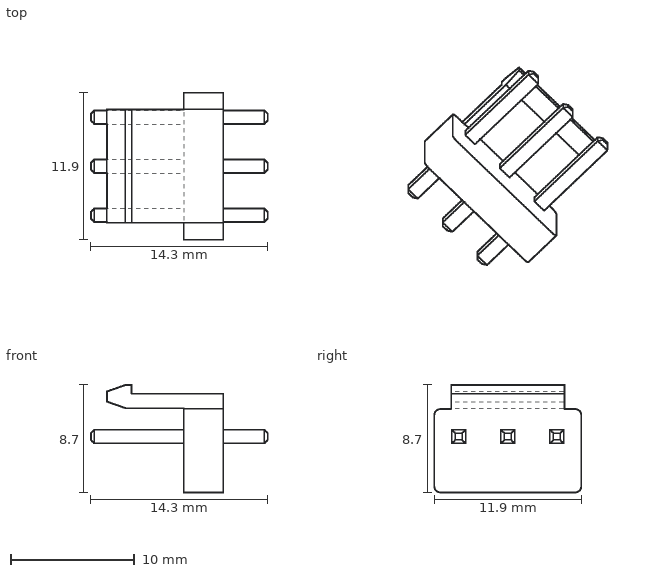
import cadquery as cq

body_thickness = 3.2
body_width = 11.88
body_height = 6.75
body_corner_radius = 0.5

pin_count = 3
pin_pitch = 3.96
pin_length = 14.3
pin_side = 1.12
pin_taper = 0.29
pin_height = 4.52
pin_front_reach = 7.51

latch_width = 9.17
latch_top = 8.0
latch_underside = 6.8
latch_length = 9.41
hook_top = 8.7
hook_length = 2.0
hook_ramp = 1.5
nose_low = 7.34
nose_high = 8.17

body_front = pin_front_reach - pin_length / 2
body_back = body_front + body_thickness
nose_x = body_back - latch_length


def make_body():
    block = cq.Workplane("XY").box(body_thickness, body_width, body_height, centered=(False, True, False))
    return block.edges("|X").fillet(body_corner_radius).translate((body_front, 0, 0))


def make_latch():
    """Hooked plate whose root reaches down into the body over the body's thickness."""
    root_bottom = body_height - body_corner_radius
    outline = [
        (nose_x, nose_low),
        (nose_x, nose_high),
        (nose_x + hook_ramp, hook_top),
        (nose_x + hook_length, hook_top),
        (nose_x + hook_length, latch_top),
        (body_back, latch_top),
        (body_back, root_bottom),
        (body_front, root_bottom),
        (body_front, latch_underside),
        (nose_x + hook_ramp, latch_underside),
    ]
    return cq.Workplane("XZ").polyline(outline).close().extrude(latch_width / 2, both=True)


def make_pin(y):
    pin = cq.Workplane("XY").box(pin_length, pin_side, pin_side)
    pin = pin.faces("<X or >X").chamfer(pin_taper)
    return pin.translate((0, y, pin_height))


result = make_body().union(make_latch())
for index in range(pin_count):
    pin_y = (index - (pin_count - 1) / 2) * pin_pitch
    result = result.union(make_pin(pin_y))